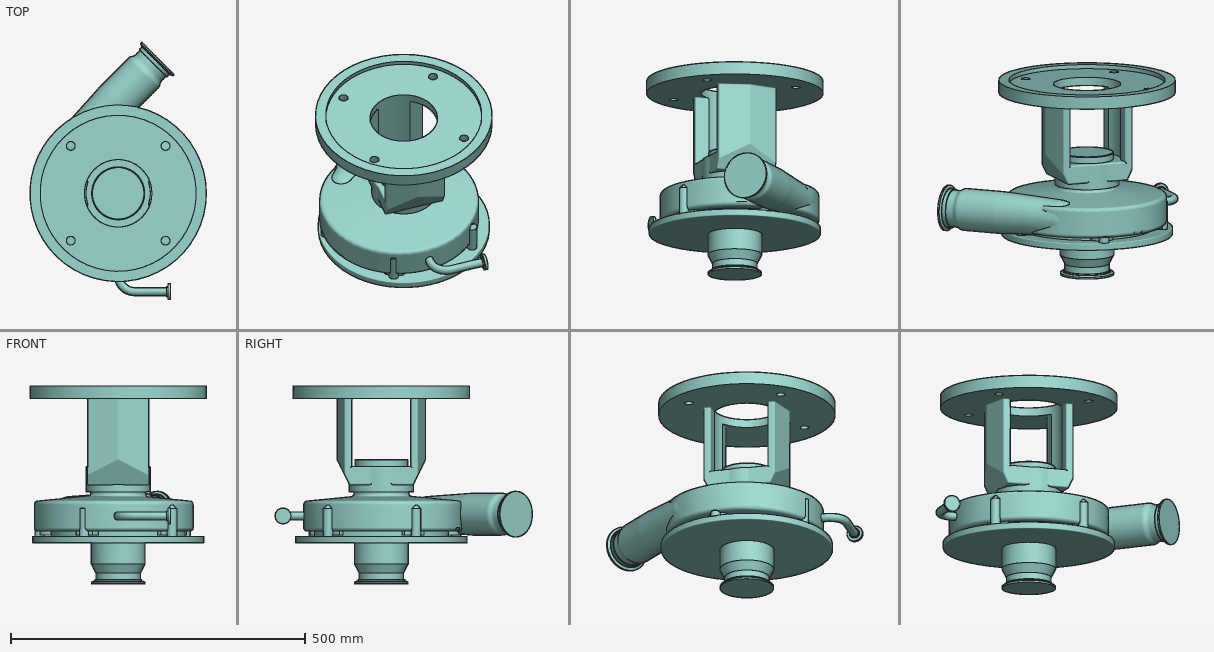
import cadquery as cq
import math


FLANGE_TOP = 336.5
FLANGE_THICKNESS = 21.5
FLANGE_BOTTOM = FLANGE_TOP - FLANGE_THICKNESS
FLANGE_RADIUS = 150.0
RECESS_RADIUS = 132.5
RECESS_DEPTH = 7.0
BORE_RADIUS = 57.5
BOLT_OFFSET = 80.5
BOLT_RADIUS = 7.5

BRACKET_BOTTOM = 168.0
BRACKET_FLOOR = 200.0
LEG_HALF_WIDTH = 52.0
LEG_SIDE_Y = 62.0
LEG_RIDGE_Y = 75.3
WINDOW_HALF_WIDTH = 50.0
SLOPE_TOP = 211.5
SLOPE_RUN_PER_RISE = 0.49
BRACKET_ROUND = 2.5
LEG_TOP_ROUND = 1.8
COLLAR_RADIUS = 54.5
COLLAR_BOTTOM = 156.5
SEAL_RADIUS = 45.0
SEAL_TOP = 212.0
SEAL_CHAMFER = 1.5

CASING_X = -7.5
CASING_Y = 3.0
CASING_RADIUS = 135.0
CASING_BOTTOM = 89.5
CASING_EDGE_TOP = 140.5
CASING_CROWN = 150.0
CROWN_RADIUS = 37.0
CASING_ROUND = 6.0
NECK_RADIUS = 47.0
NECK_ROUND = 5.0

PLATE_BOTTOM = 69.5
PLATE_TOP = 81.0
PLATE_RADIUS = 145.5
PLATE_ROUND = 1.5
RING_RADIUS = 113.8
LUG_COUNT = 5
LUG_START_ANGLE = 27.3
LUG_PITCH_RADIUS = 128.5
LUG_RADIUS = 8.5
LUG_TOP = 134.5
LUG_CHAMFER = 6.5
SHORT_LUG_INDEX = 2
SHORT_LUG_PITCH_RADIUS = 134.8
SHORT_LUG_TOP = 97.5
PAD_PITCH_RADIUS = 116.0
PAD_RADIUS = 19.3
PAD_BOTTOM = 83.0

SUCTION_RADIUS = 46.0
SUCTION_TUBE_RADIUS = 38.0
REDUCER_TOP = 34.0
REDUCER_BOTTOM = 19.0

OUTLET_OFFSET = 114.0
OUTLET_Z = 118.5
OUTLET_ANGLE = 45
OUTLET_ROOT_RADIUS = 30.0
OUTLET_RADIUS = 36.0
OUTLET_TUBE_RADIUS = 31.5
OUTLET_TAPER_END = 106.8
OUTLET_SHOULDER = 175.0
OUTLET_NECK = 187.5
OUTLET_LENGTH = 210.0

COLLAR_LIP = 1.8
RIM_FLARE = 3.0
RIM_OVERHANG = 7.5
SUCTION_COLLAR_LENGTH = 7.5
OUTLET_COLLAR_LENGTH = 12.0
FERRULE_FLARE_START = 5.3
FERRULE_RIM = 3.0

DRAIN_Z = 115.5
DRAIN_RADIUS = 7.0
DRAIN_BEND_RADIUS = 28.5
DRAIN_Y = -167.0
DRAIN_COLLAR_X = 82.3
DRAIN_COLLAR_RADIUS = 8.8
DRAIN_RIM_X = 84.5
DRAIN_RIM_RADIUS = 13.5
DRAIN_END_X = 89.3


def disc(radius, bottom, top, x=0, y=0):
    return cq.Workplane("XY", origin=(x, y, bottom)).circle(radius).extrude(top - bottom)


def polar(radius, angle):
    turn = math.radians(angle)
    return radius * math.cos(turn), radius * math.sin(turn)


def ferrule_points(tube_radius, end, inward, collar_length):
    """Half profile of a clamp ferrule as (radius, position), from the tube out to the axis at its end."""
    flare_radius = tube_radius + RIM_FLARE
    rim_radius = tube_radius + RIM_OVERHANG
    collar = end + inward * collar_length
    flare = end + inward * FERRULE_FLARE_START
    rim = end + inward * FERRULE_RIM
    return [
        (tube_radius, collar),
        (tube_radius + COLLAR_LIP, collar),
        (tube_radius + COLLAR_LIP, flare),
        (flare_radius, flare),
        (rim_radius, rim),
        (rim_radius, end),
        (0, end),
    ]


def mounting_flange():
    flange = disc(FLANGE_RADIUS, FLANGE_BOTTOM, FLANGE_TOP)
    return flange.cut(disc(RECESS_RADIUS, FLANGE_TOP - RECESS_DEPTH, FLANGE_TOP))


def bracket():
    block_height = FLANGE_BOTTOM - BRACKET_BOTTOM
    outline = [
        (LEG_HALF_WIDTH, -LEG_SIDE_Y),
        (LEG_HALF_WIDTH, LEG_SIDE_Y),
        (0, LEG_RIDGE_Y),
        (-LEG_HALF_WIDTH, LEG_SIDE_Y),
        (-LEG_HALF_WIDTH, -LEG_SIDE_Y),
        (0, -LEG_RIDGE_Y),
    ]
    block_base = cq.Workplane("XY", origin=(0, 0, BRACKET_BOTTOM))
    block = block_base.polyline(outline).close().extrude(block_height)
    slope_run = (SLOPE_TOP - BRACKET_BOTTOM) * SLOPE_RUN_PER_RISE
    for side in (1, -1):
        undercut = (
            cq.Workplane("YZ")
            .moveTo(side * LEG_RIDGE_Y, SLOPE_TOP)
            .lineTo(side * (LEG_RIDGE_Y - slope_run), BRACKET_BOTTOM)
            .lineTo(side * LEG_RIDGE_Y, BRACKET_BOTTOM)
            .close()
            .extrude(LEG_HALF_WIDTH, both=True)
        )
        block = block.cut(undercut)
    block = block.edges("not(>Z)").fillet(BRACKET_ROUND)
    block = block.union(disc(COLLAR_RADIUS, COLLAR_BOTTOM, BRACKET_FLOOR))
    window_height = FLANGE_BOTTOM - BRACKET_FLOOR
    window_base = cq.Workplane("XY", origin=(0, 0, BRACKET_FLOOR))
    window = window_base.rect(2 * BORE_RADIUS, 2 * WINDOW_HALF_WIDTH).extrude(window_height)
    block = block.cut(window)
    inner_x = LEG_HALF_WIDTH - BRACKET_ROUND
    outer_x = COLLAR_RADIUS + BRACKET_ROUND
    edge_y = WINDOW_HALF_WIDTH + BRACKET_ROUND
    for side in (1, -1):
        opening = cq.selectors.BoxSelector(
            (side * inner_x, -edge_y, BRACKET_FLOOR - BRACKET_ROUND),
            (side * outer_x, edge_y, FLANGE_TOP),
            boundingbox=True,
        )
        block = block.edges(opening).fillet(BRACKET_ROUND)
    return block


def casing():
    body = (
        cq.Workplane("XZ", origin=(CASING_X, CASING_Y, 0))
        .moveTo(0, CASING_BOTTOM)
        .lineTo(CASING_RADIUS, CASING_BOTTOM)
        .lineTo(CASING_RADIUS, CASING_EDGE_TOP)
        .lineTo(CROWN_RADIUS, CASING_CROWN)
        .lineTo(0, CASING_CROWN)
        .close()
        .revolve(360, (0, 0), (0, 1))
    )
    at_rim = cq.selectors.RadiusNthSelector(-1)
    body = body.edges("%CIRCLE").edges(at_rim).fillet(CASING_ROUND)
    body = body.union(disc(NECK_RADIUS, CASING_BOTTOM, COLLAR_BOTTOM))
    foot_reach = NECK_RADIUS + NECK_ROUND
    foot = cq.selectors.BoxSelector(
        (-foot_reach, -foot_reach, CASING_EDGE_TOP),
        (foot_reach, foot_reach, COLLAR_BOTTOM - NECK_ROUND / 2),
        boundingbox=True,
    )
    return body.edges(foot).fillet(NECK_ROUND)


def back_plate():
    plate = disc(PLATE_RADIUS, PLATE_BOTTOM, PLATE_TOP).edges().fillet(PLATE_ROUND)
    return plate.union(disc(RING_RADIUS, PLATE_TOP, CASING_BOTTOM))


def lug(angle, pitch_radius, top):
    x, y = polar(pitch_radius, angle)
    return disc(LUG_RADIUS, PLATE_TOP, top, x, y).faces(">Z").chamfer(LUG_CHAMFER)


def pad(angle):
    """Low round pad under the casing, kept within the flat part of the casing floor."""
    x, y = polar(PAD_PITCH_RADIUS, angle)
    floor = disc(CASING_RADIUS - CASING_ROUND, PAD_BOTTOM, CASING_BOTTOM, CASING_X, CASING_Y)
    return disc(PAD_RADIUS, PAD_BOTTOM, CASING_BOTTOM, x, y).intersect(floor)


def suction_pipe():
    points = [
        (0, PLATE_BOTTOM),
        (SUCTION_RADIUS, PLATE_BOTTOM),
        (SUCTION_RADIUS, REDUCER_TOP),
        (SUCTION_TUBE_RADIUS, REDUCER_BOTTOM),
    ] + ferrule_points(SUCTION_TUBE_RADIUS, 0, 1, SUCTION_COLLAR_LENGTH)
    return cq.Workplane("XZ").polyline(points).close().revolve(360, (0, 0), (0, 1))


def discharge_pipe():
    """Pipe revolved about +X from a rounded root, then turned to the diagonal beside the main axis."""
    shoulder_middle = (OUTLET_SHOULDER + OUTLET_NECK) / 2
    radius_middle = (OUTLET_RADIUS + OUTLET_TUBE_RADIUS) / 2
    root_arc = OUTLET_ROOT_RADIUS * math.sqrt(0.5)
    profile = (
        cq.Workplane("XY")
        .moveTo(-OUTLET_ROOT_RADIUS, 0)
        .threePointArc((-root_arc, root_arc), (0, OUTLET_ROOT_RADIUS))
        .lineTo(OUTLET_TAPER_END, OUTLET_RADIUS)
        .lineTo(OUTLET_SHOULDER, OUTLET_RADIUS)
        .tangentArcPoint((shoulder_middle, radius_middle), relative=False)
        .tangentArcPoint((OUTLET_NECK, OUTLET_TUBE_RADIUS), relative=False)
    )
    ferrule = ferrule_points(OUTLET_TUBE_RADIUS, OUTLET_LENGTH, -1, OUTLET_COLLAR_LENGTH)
    for radius, position in ferrule:
        profile = profile.lineTo(position, radius)
    pipe = profile.close().revolve(360, (0, 0), (1, 0))
    return pipe.translate((0, OUTLET_OFFSET, OUTLET_Z)).rotate((0, 0, 0), (0, 0, 1), OUTLET_ANGLE)


def drain_pipe():
    start_y = 2 * DRAIN_RADIUS - CASING_RADIUS
    bend_start_y = DRAIN_Y + DRAIN_BEND_RADIUS
    bend_dip = DRAIN_BEND_RADIUS * (1 - math.sqrt(0.5))
    path = (
        cq.Workplane("XY", origin=(0, 0, DRAIN_Z))
        .moveTo(0, start_y)
        .lineTo(0, bend_start_y)
        .threePointArc((bend_dip, DRAIN_Y + bend_dip), (DRAIN_BEND_RADIUS, DRAIN_Y))
        .lineTo(DRAIN_COLLAR_X, DRAIN_Y)
    )
    pipe = cq.Workplane("XZ", origin=(0, start_y, DRAIN_Z)).circle(DRAIN_RADIUS).sweep(path)
    collar = cq.Workplane("YZ", origin=(DRAIN_COLLAR_X, DRAIN_Y, DRAIN_Z)).circle(DRAIN_COLLAR_RADIUS)
    rim = cq.Workplane("YZ", origin=(DRAIN_RIM_X, DRAIN_Y, DRAIN_Z)).circle(DRAIN_RIM_RADIUS)
    pipe = pipe.union(collar.extrude(DRAIN_RIM_X - DRAIN_COLLAR_X))
    return pipe.union(rim.extrude(DRAIN_END_X - DRAIN_RIM_X))


upper = mounting_flange().union(bracket())
leg_tops = cq.selectors.BoxSelector(
    (-BORE_RADIUS, -LEG_RIDGE_Y, FLANGE_BOTTOM - LEG_TOP_ROUND),
    (BORE_RADIUS, LEG_RIDGE_Y, FLANGE_BOTTOM + LEG_TOP_ROUND),
    boundingbox=True,
)
upper = upper.edges(leg_tops).fillet(LEG_TOP_ROUND)
upper = upper.cut(disc(BORE_RADIUS, BRACKET_FLOOR, FLANGE_TOP))
for x_side in (1, -1):
    for y_side in (1, -1):
        bolt_x = x_side * BOLT_OFFSET
        bolt_y = y_side * BOLT_OFFSET
        upper = upper.cut(disc(BOLT_RADIUS, FLANGE_BOTTOM, FLANGE_TOP, bolt_x, bolt_y))
seal = disc(SEAL_RADIUS, BRACKET_FLOOR, SEAL_TOP).faces(">Z").chamfer(SEAL_CHAMFER)

result = casing().union(upper).union(seal).union(back_plate()).union(suction_pipe())
for number in range(LUG_COUNT):
    lug_angle = LUG_START_ANGLE + number * 360 / LUG_COUNT
    if number == SHORT_LUG_INDEX:
        post = lug(lug_angle, SHORT_LUG_PITCH_RADIUS, SHORT_LUG_TOP)
    else:
        post = lug(lug_angle, LUG_PITCH_RADIUS, LUG_TOP)
    result = result.union(post).union(pad(lug_angle))
result = result.union(discharge_pipe()).union(drain_pipe())